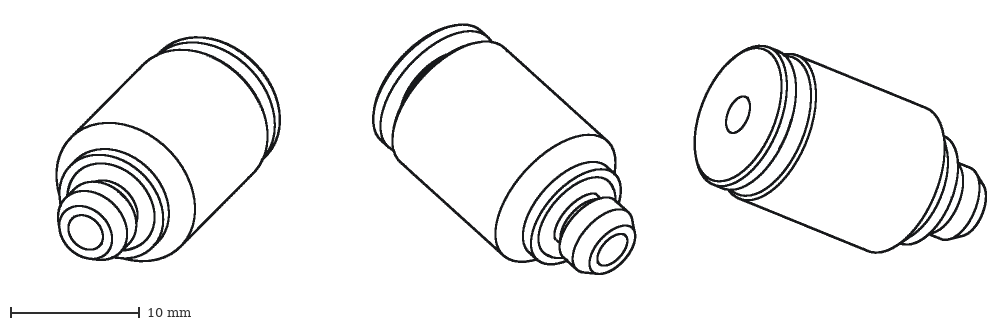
import cadquery as cq

bore_diameter = 3.0
tip_diameter = 4.59
neck_diameter = 4.7
plug_diameter = 6.0
seal_diameter = 7.5
flange_diameter = 9.0
body_diameter = 12.0
collar_diameter = 7.3
cap_diameter = 11.5

total_length = 22.7
plug_start = 1.2
plug_end = 2.81
neck_start = 3.52
flange_start = 4.5
flange_end = 5.5
body_start = 7.01
body_end = 20.0
rim_end = 20.2
cap_start = 21.5

seal_radius = (seal_diameter - neck_diameter) / 4

body_chamfer = 0.27
cap_chamfer = 0.3
collar_flare = 0.14


def stepped_body():
    """Revolve the outer half profile as (radius, axial position)."""
    profile = (
        cq.Workplane("XY")
        .moveTo(0, 0)
        .lineTo(tip_diameter / 2, 0)
        .lineTo(plug_diameter / 2, plug_start)
        .lineTo(plug_diameter / 2, plug_end)
        .lineTo(neck_diameter / 2, neck_start)
        .lineTo(neck_diameter / 2, flange_start)
        .threePointArc(
            (neck_diameter / 2 + seal_radius, flange_start - seal_radius),
            (seal_diameter / 2, flange_start),
        )
        .lineTo(flange_diameter / 2, flange_start)
        .lineTo(flange_diameter / 2, flange_end)
        .lineTo(body_diameter / 2, body_start)
        .lineTo(body_diameter / 2, body_end - body_chamfer)
        .lineTo(body_diameter / 2 - body_chamfer, body_end)
        .lineTo(flange_diameter / 2, body_end)
        .lineTo(collar_diameter / 2, rim_end)
        .lineTo(collar_diameter / 2, cap_start - collar_flare)
        .lineTo(collar_diameter / 2 + collar_flare, cap_start)
        .lineTo(cap_diameter / 2, cap_start)
        .lineTo(cap_diameter / 2, total_length - cap_chamfer)
        .lineTo(cap_diameter / 2 - cap_chamfer, total_length)
        .lineTo(0, total_length)
        .close()
    )
    return profile.revolve(360, (0, 0, 0), (0, 1, 0))


def through_bore():
    """Flow passage along the full axis."""
    return cq.Workplane("XZ").circle(bore_diameter / 2).extrude(-total_length)


result = stepped_body().cut(through_bore())